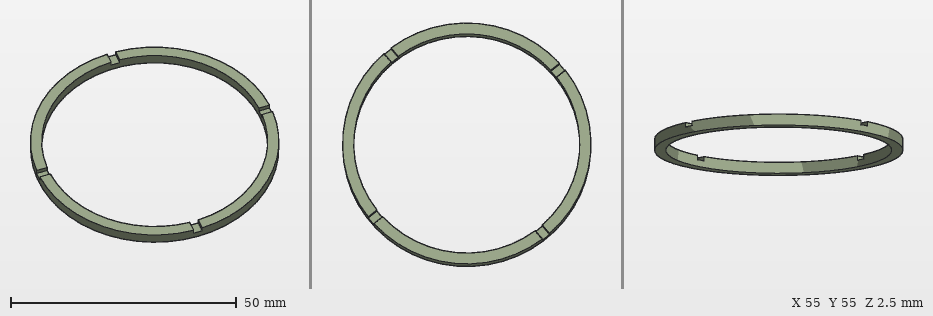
import cadquery as cq

outer_diameter = 55.0
inner_diameter = 50.0
ring_height = 2.5

notch_width = 2.0
notch_depth = 1.0


def make_ring():
    """Flat ring resting on Z = 0, centred on the Z axis."""
    return (
        cq.Workplane("XY")
        .circle(outer_diameter / 2)
        .circle(inner_diameter / 2)
        .extrude(ring_height)
    )


def make_notch_bar(angle):
    """Bar spanning the ring at the given angle, cutting two opposite notches."""
    return (
        cq.Workplane("XY", origin=(0, 0, ring_height - notch_depth))
        .rect(outer_diameter, notch_width)
        .extrude(notch_depth)
        .rotate((0, 0, 0), (0, 0, 1), angle)
    )


result = make_ring()
for notch_angle in (0, 90):
    result = result.cut(make_notch_bar(notch_angle))